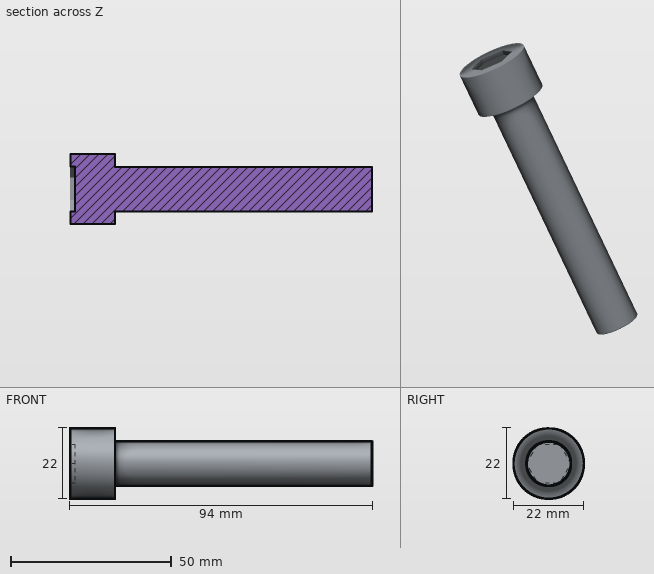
import math

import cadquery as cq

shank_diameter = 14.0
shank_length = 80.0
head_diameter = 22.0
head_height = 14.0
tip_chamfer = 0.2

socket_across_flats = 12.0
socket_across_corners = socket_across_flats / math.cos(math.pi / 6)
socket_depth = 1.5


def head():
    return cq.Workplane("YZ").circle(head_diameter / 2).extrude(head_height)


def shank():
    blank = (
        cq.Workplane("YZ")
        .workplane(offset=head_height)
        .circle(shank_diameter / 2)
        .extrude(shank_length)
    )
    return blank.faces(">X").chamfer(tip_chamfer)


def hex_socket():
    return cq.Workplane("YZ").polygon(6, socket_across_corners).extrude(socket_depth)


result = head().union(shank()).cut(hex_socket())